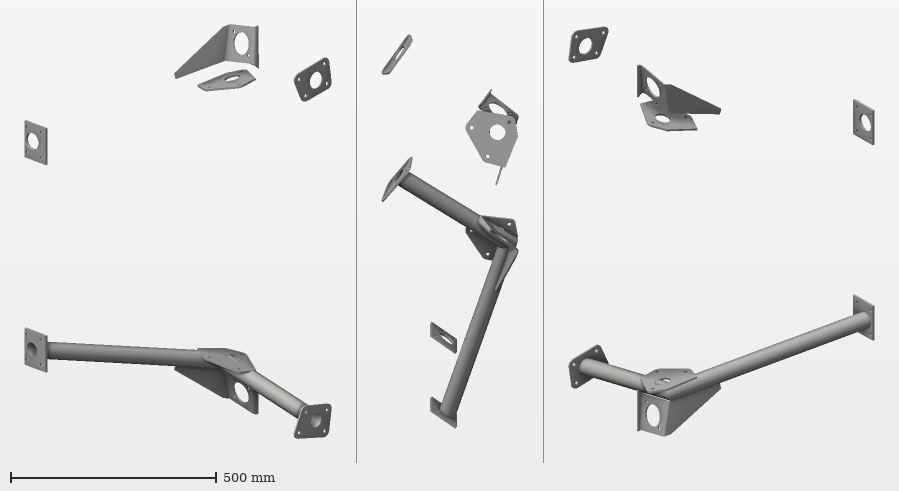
import cadquery as cq
import math

total_x = 527.0
front_tube_end = cq.Vector(27.0, 0, -272.0)
corner = cq.Vector(196.0, 481.0, -378.0)
side_tube_end = cq.Vector(total_x, corner.y, -444.0)

tube_radius = 21.0
tube_wall = 4.0
bore_radius = tube_radius - tube_wall

bolt_diameter = 9.0

front_thickness = 6.0
front_width = 76.0
front_height = 95.0
front_center_z = -271.0
front_hole_x = (8.0, 60.0)
front_hole_pitch_z = 66.0

side_thickness = 4.0
side_corner_radius = 15.0
side_holes = [(510.0, -479.0), (518.0, -426.0), (447.0, -412.0), (425.0, -461.0)]

top_thickness = 5.0
top_sink = 4.6
top_ear_radius = 15.0
front_ear = (12.0, -64.0)
right_ear = (86.0, -32.0)
back_ear = (22.0, 35.0)
top_sharp_right = (101.0, 10.0)
top_sharp_left = (-16.0, 20.0)
top_sharp_front = (-39.0, -59.0)
top_hole_center = (29.0, -2.0)
top_hole_diameter = 39.0

sheet = 4.0
fold_bend_radius = 2.0
lip_bend_radius = 4.0
fold_along = 2.0
fold_across = 11.0
fold_drop = 20.0
bracket_height = 83.0
fold_rake = 34.0
wall_length = 103.0
motor_hole_center = (57.0, 47.0)
motor_hole_diameter = 56.0
motor_bolt_offset = 27.0
fin_length = 133.0
fin_tip_height = 15.0
fin_lower_length = 16.0
lip_foot_depth = 19.0
lip_head_depth = 13.0
lip_foot_drop = 11.0

reach = 4 * total_x

front_axis = (front_tube_end - corner).normalized()
side_axis = (side_tube_end - corner).normalized()
up = front_axis.cross(side_axis).normalized()
down = up * -1
side_across = up.cross(side_axis)


def half_space(point, normal):
    """Everything on the side of a plane that its normal points to."""
    return cq.Workplane(cq.Plane(point, normal=normal)).rect(reach, reach).extrude(reach)


def rounded_outline(plane, corners):
    """Closed outline round corner circles (x, y, radius), listed anticlockwise; radius 0 is sharp."""
    sides = []
    for (x0, y0, r0), (x1, y1, r1) in zip(corners, corners[1:] + corners[:1]):
        heading = math.atan2(y1 - y0, x1 - x0)
        spread = math.asin((r1 - r0) / math.hypot(x1 - x0, y1 - y0))
        normal = heading - math.pi / 2 - spread
        start = (x0 + r0 * math.cos(normal), y0 + r0 * math.sin(normal))
        end = (x1 + r1 * math.cos(normal), y1 + r1 * math.sin(normal))
        sides.append((start, end, normal))
    outline = cq.Workplane(plane).moveTo(*sides[-1][1])
    for (x, y, r), before, after in zip(corners, sides[-1:] + sides[:-1], sides):
        if r > 0:
            middle = before[2] + ((after[2] - before[2]) % (2 * math.pi)) / 2
            outline = outline.threePointArc((x + r * math.cos(middle), y + r * math.sin(middle)), after[0])
        outline = outline.lineTo(*after[1])
    return outline.close()


def mitred_rods(radius):
    """Two rods along the tube axes, mitred at the corner and cut flush with the plates' outer faces."""
    mitre = front_axis - side_axis
    rods = cq.Workplane()
    for tube_end, axis, kept_side in (
        (front_tube_end, front_axis, mitre),
        (side_tube_end, side_axis, mitre * -1),
    ):
        overrun = 3 * radius
        length = (tube_end - corner).Length + 2 * overrun
        rod = cq.Workplane(cq.Solid.makeCylinder(radius, length, corner - axis * overrun, axis))
        rods = rods.add(rod.intersect(half_space(corner, kept_side)))
    inside = cq.Workplane().box(total_x, reach, reach, centered=(False, False, True))
    return rods.combine().intersect(inside)


def make_front_plate():
    plane = cq.Plane((0, 0, front_center_z), xDir=(1, 0, 0), normal=(0, -1, 0))
    plate = cq.Workplane(plane).center(front_width / 2, 0).rect(front_width, front_height)
    holes = [(x, side * front_hole_pitch_z / 2) for x in front_hole_x for side in (-1, 1)]
    bolts = cq.Workplane(plane).pushPoints(holes).circle(bolt_diameter / 2)
    return plate.extrude(-front_thickness).cut(bolts.extrude(-front_thickness)).cut(mitred_rods(tube_radius))


def make_side_plate():
    plane = cq.Plane((total_x, 0, 0), xDir=(0, 1, 0), normal=(1, 0, 0))
    corners = [(y, z, side_corner_radius) for y, z in side_holes]
    plate = rounded_outline(plane, corners).extrude(-side_thickness)
    bolts = cq.Workplane(plane).pushPoints(side_holes).circle(bolt_diameter / 2)
    return plate.cut(bolts.extrude(-side_thickness)).cut(mitred_rods(tube_radius))


def make_top_plate():
    plane = cq.Plane(corner + up * (tube_radius - top_sink), xDir=side_axis, normal=up)
    corners = [
        (*front_ear, top_ear_radius),
        (*right_ear, top_ear_radius),
        (*top_sharp_right, 0),
        (*back_ear, top_ear_radius),
        (*top_sharp_left, 0),
        (*top_sharp_front, 0),
    ]
    plate = rounded_outline(plane, corners).extrude(top_thickness)
    holes = cq.Workplane(plane).pushPoints([front_ear, right_ear, back_ear]).circle(bolt_diameter / 2)
    holes = holes.moveTo(*top_hole_center).circle(top_hole_diameter / 2)
    return plate.cut(holes.extrude(top_thickness))


def bent_sheet(fold_point, fold_axis, first_leg, second_leg, bend_radius):
    """Long strip of sheet bent along an axis; the fold point is where its inner faces would meet."""
    axis = fold_axis.normalized()
    first = first_leg - axis * first_leg.dot(axis)
    second = second_leg - axis * second_leg.dot(axis)
    first_normal = (second - first * (first.dot(second) / first.dot(first))).normalized() * -1
    second_normal = (first - second * (first.dot(second) / second.dot(second))).normalized() * -1
    outer_point = fold_point + (first_normal + second_normal) * (sheet / (1 + first_normal.dot(second_normal)))
    profile = [
        fold_point,
        fold_point + first,
        fold_point + first + first_normal * sheet,
        outer_point,
        fold_point + second + second_normal * sheet,
        fold_point + second,
    ]
    shift = axis * (2 * bracket_height)
    section = cq.Face.makeFromWires(cq.Wire.makePolygon([point - shift for point in profile], close=True))
    strip = cq.Workplane(cq.Solid.extrudeLinear(section, shift * 2))
    for point, radius in ((fold_point, bend_radius), (outer_point, bend_radius + sheet)):
        strip = strip.edges(cq.NearestToPointSelector(point.toTuple())).fillet(radius)
    return strip


def make_bracket():
    fold_start = corner + side_axis * fold_along + side_across * fold_across + down * fold_drop
    fold = down * bracket_height - front_axis * fold_rake

    fin_plane = cq.Plane(fold_start, xDir=front_axis, normal=front_axis.cross(down))
    wall_plane = cq.Plane(fold_start, xDir=side_axis, normal=side_axis.cross(fold))
    backward = wall_plane.zDir
    wall_down = wall_plane.yDir
    legs = (side_axis * wall_length, front_axis * (2 * fin_length))
    bracket = bent_sheet(fold_start, fold, *legs, fold_bend_radius)
    lip_start = wall_length - sheet - lip_bend_radius
    bracket = bracket.intersect(half_space(fold_start + side_axis * lip_start, side_axis * -1))

    tip = fin_plane.toWorldCoords((fin_length, fin_tip_height))
    taper_end = fin_plane.toWorldCoords((fin_lower_length - fold_rake, bracket_height))
    bracket = bracket.intersect(half_space(tip, front_axis * -1))
    bracket = bracket.intersect(half_space(tip, fin_plane.zDir.cross(taper_end - tip)))
    bracket = bracket.intersect(half_space(fold_start, down))

    lip_fold = fold_start + side_axis * (wall_length - sheet) + backward * sheet
    lip_legs = (side_axis * (-2 * lip_bend_radius), backward * (2 * lip_foot_depth))
    lip = bent_sheet(lip_fold, wall_down, *lip_legs, lip_bend_radius)
    foot = backward * lip_foot_depth - wall_down * lip_foot_drop
    head = backward * lip_head_depth + wall_down * bracket_height
    lip = lip.intersect(half_space(fold_start, foot.cross(side_axis)))
    lip = lip.intersect(half_space(fold_start + foot, (head - foot).cross(side_axis)))
    bracket = bracket.union(lip).intersect(half_space(fold_start + fold, up))

    holes = cq.Workplane(wall_plane).center(*motor_hole_center).circle(motor_hole_diameter / 2)
    bolts = [(-motor_bolt_offset, motor_bolt_offset), (motor_bolt_offset, -motor_bolt_offset)]
    holes = holes.pushPoints(bolts).circle(bolt_diameter / 2)
    return bracket.cut(holes.extrude(sheet))


front_plate = make_front_plate()
side_plate = make_side_plate()
top_plate = make_top_plate()
bracket = make_bracket()

frame = mitred_rods(tube_radius).union(top_plate).union(bracket).cut(mitred_rods(bore_radius))

mirrored_parts = [part.mirror("XY") for part in (front_plate, side_plate, top_plate, bracket)]
result = cq.Compound.makeCompound(
    [solid for part in (frame, front_plate, side_plate, *mirrored_parts) for solid in part.solids().vals()]
)